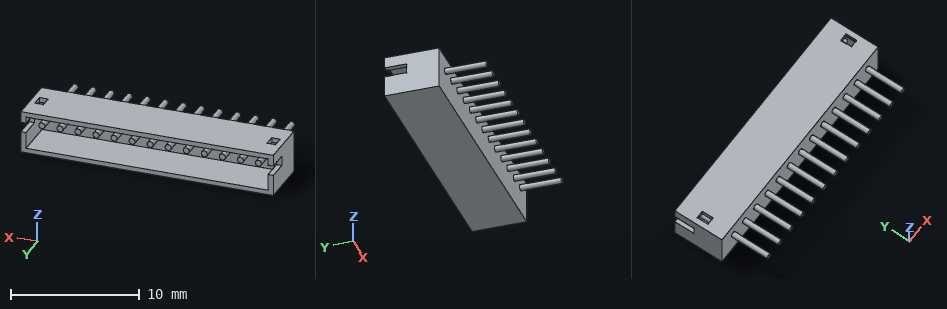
import cadquery as cq


length = 21.0
depth = 4.5
height = 3.5
end_wall = 0.45
flat_wall = 0.4
front_wall = 1.0

pin_count = 13
pin_pitch = length / (pin_count + 1)
pin_diameter = 0.5
pin_below_top = 1.28
tail_length = 3.4
pin_recess = 0.7

slot_depth = 1.83
slot_height = 0.8
slot_below_top = 0.95

window_width = 0.7
window_length = 1.0
window_from_mouth = 1.78
window_from_end = 0.5


def block(x, y, z, size_x, size_y, size_z):
    """Box with its lower left front corner at (x, y, z)."""
    return cq.Workplane("XY").box(size_x, size_y, size_z, centered=False).translate((x, y, z))


def make_housing():
    housing = block(0, 0, 0, length, depth, height)
    cavity = block(
        end_wall, front_wall, flat_wall,
        length - 2 * end_wall, depth - front_wall, height - 2 * flat_wall,
    )
    slots = block(
        0, depth - slot_depth, height - slot_below_top - slot_height,
        length, slot_depth, slot_height,
    )
    housing = housing.cut(cavity).cut(slots)

    for window_x in (window_from_end, length - window_from_end - window_width):
        window = block(
            window_x, depth - window_from_mouth - window_length, height - flat_wall,
            window_width, window_length, flat_wall,
        )
        housing = housing.cut(window)
    return housing


def make_pin(x):
    """Round pin along Y, from its tail end to its tip inside the cavity."""
    pin_length = tail_length + depth - pin_recess
    pin_start = cq.Workplane("XZ", origin=(x, -tail_length, height - pin_below_top))
    return pin_start.circle(pin_diameter / 2).extrude(-pin_length)


result = make_housing()
for index in range(pin_count):
    result = result.union(make_pin((index + 1) * pin_pitch))